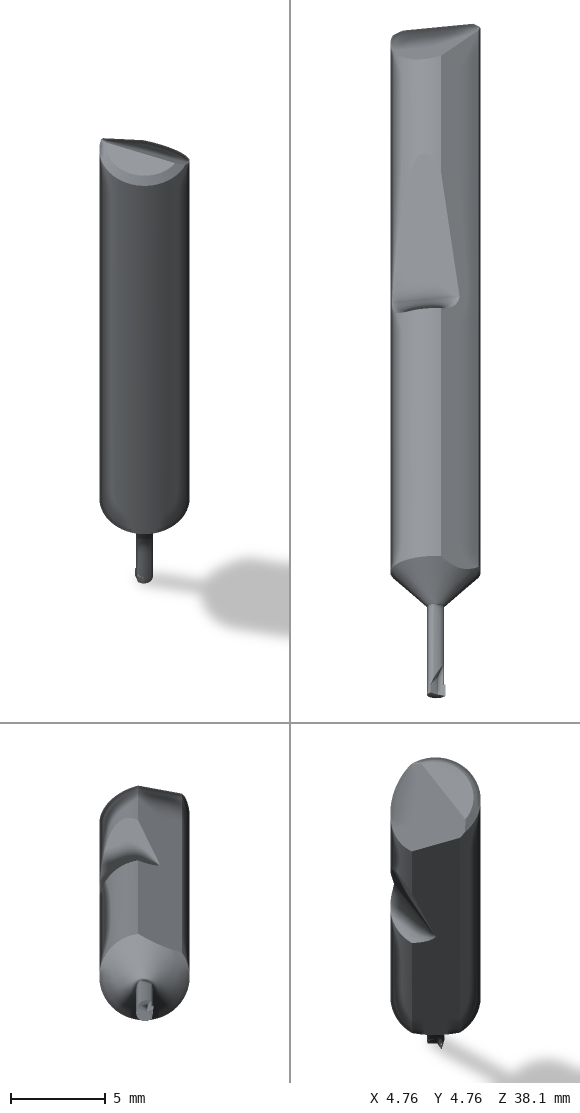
import cadquery as cq
import math

total_length = 38.1
shank_radius = 2.38
top_chamfer = 0.4

neck_radius = 0.44
neck_relief_radius = 0.9
neck_bottom = 0.1
neck_top = 5.1
cone_top = neck_top + shank_radius - neck_radius

side_flat_distance = 2.02
side_flat_angle = 144.0
bevel_start_y = -0.55

notch_floor_y = 1.2
notch_bottom = 21.07
notch_top = 29.87
notch_radius = 1.15

gullet_top = 1.8
gullet_ramp_angle = 26.0
gullet_floor_distance = 0.1

tooth_reach = 0.55
tooth_heel_left = -0.2
tooth_heel_right = 0.1
tooth_heel_y = -0.45
tooth_top = 0.65

cutter_size = 3 * shank_radius


def make_body():
    """Shank, cone and neck turned around the Z axis."""
    profile = [
        (0, neck_bottom),
        (neck_radius, neck_bottom),
        (neck_radius, neck_top),
        (shank_radius, cone_top),
        (shank_radius, total_length - top_chamfer),
        (shank_radius - top_chamfer, total_length),
        (0, total_length),
    ]
    return cq.Workplane("XZ").polyline(profile).close().revolve(360, (0, 0), (0, 1))


def make_side_cutter(distance, height):
    """Block beyond a flat on the -X, +Y side, at a given distance from the axis."""
    return (
        cq.Workplane("XY")
        .box(cutter_size, cutter_size, height, centered=(False, True, False))
        .translate((distance, 0, 0))
        .rotate((0, 0, 0), (0, 0, 1), side_flat_angle)
    )


def make_neck_relief_cutter():
    """Sliver that flattens the -X, +Y quarter of the neck to a larger radius."""
    half_chord = neck_radius * math.sqrt(0.5)
    sagitta = neck_relief_radius - math.sqrt(neck_relief_radius**2 - half_chord**2)
    middle_offset = (half_chord + sagitta) * math.sqrt(0.5)
    return (
        cq.Workplane("XY")
        .moveTo(-neck_radius, 0)
        .threePointArc((-middle_offset, middle_offset), (0, neck_radius))
        .lineTo(-neck_radius, neck_radius)
        .close()
        .extrude(neck_top)
    )


def make_bevel_cutter():
    """Wedge above the 45 degree bevel at the top of the shank."""
    corner_y = bevel_start_y + cutter_size
    profile = [
        (bevel_start_y, total_length),
        (corner_y, total_length),
        (corner_y, total_length - cutter_size),
    ]
    return cq.Workplane("YZ").polyline(profile).close().extrude(cutter_size / 2, both=True)


def make_notch_cutter():
    """Ramped notch whose lower end is rounded, running through in X."""
    outer_y = shank_radius
    ramp_angle = math.atan2(outer_y - notch_floor_y, notch_top - notch_bottom - notch_radius)
    arc_center_y = notch_floor_y + notch_radius
    arc_center_z = notch_bottom + notch_radius
    middle_offset = notch_radius * math.sqrt(0.5)
    ramp_start = (
        arc_center_y - notch_radius * math.cos(ramp_angle),
        arc_center_z - notch_radius * math.sin(ramp_angle),
    )
    return (
        cq.Workplane("YZ")
        .moveTo(outer_y, notch_top)
        .lineTo(*ramp_start)
        .threePointArc(
            (arc_center_y - middle_offset, arc_center_z - middle_offset),
            (arc_center_y, notch_bottom),
        )
        .lineTo(cutter_size, notch_bottom)
        .lineTo(cutter_size, notch_top)
        .close()
        .extrude(cutter_size / 2, both=True)
    )


def make_gullet_cutter():
    """Chip space on the +Y side of the rake face, with a sloped run-out and a flat floor."""
    ramp_run = gullet_top * math.tan(math.radians(gullet_ramp_angle))
    profile = [
        (-2 * neck_radius, 0),
        (ramp_run - neck_radius, 0),
        (-neck_radius, gullet_top),
        (-2 * neck_radius, gullet_top),
    ]
    ramp = cq.Workplane("XZ").polyline(profile).close().extrude(-2 * neck_radius)
    return ramp.intersect(make_side_cutter(gullet_floor_distance, gullet_top))


def make_tooth():
    """Relieved tooth whose underside rises from the sharp tip at Z = 0."""
    outline = [
        (-tooth_reach, 0),
        (tooth_heel_left, tooth_heel_y),
        (tooth_heel_right, tooth_heel_y),
        (tooth_heel_right, 0),
    ]
    tooth = cq.Workplane("XY").polyline(outline).close().extrude(tooth_top)
    relief_profile = [
        (-tooth_reach, 0),
        (tooth_heel_right, 0),
        (tooth_heel_right, neck_bottom),
        (tooth_heel_left, neck_bottom),
    ]
    relief = cq.Workplane("XZ").polyline(relief_profile).close().extrude(-2 * tooth_heel_y)
    return tooth.cut(relief)


result = (
    make_body()
    .cut(make_side_cutter(side_flat_distance, total_length))
    .cut(make_neck_relief_cutter())
    .cut(make_bevel_cutter())
    .cut(make_notch_cutter())
    .cut(make_gullet_cutter())
    .union(make_tooth())
)